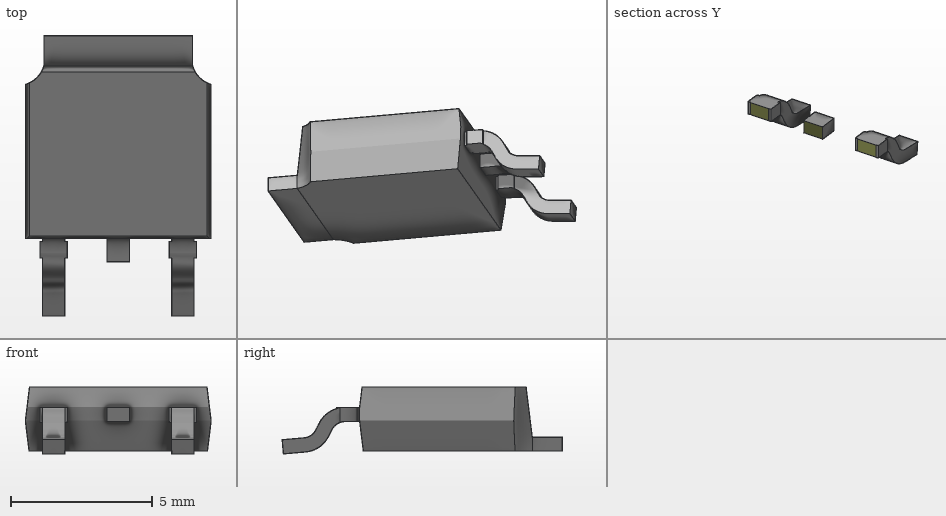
import cadquery as cq
import math


housing_width = 6.58
housing_length = 6.115
housing_height = 2.28
parting_height = 1.075
draft_angle = math.radians(7)

tab_width = 5.27
tab_thickness = 0.50
tab_length = 1.065

corner_radius = 0.95
corner_centre_x = 3.55
corner_centre_y = housing_length + math.sqrt(corner_radius**2 - (corner_centre_x - tab_width / 2) ** 2)

lead_thickness = 0.51
lead_top = 1.555
lead_pitch = 2.286
lead_width = 0.79
dambar_width = 0.98
dambar_start = 0.095
dambar_end = 0.685

shoulder_length = 0.515
bend_angle = math.radians(63)
inner_bend_radius = 0.51
outer_bend_radius = inner_bend_radius + lead_thickness
slope_length = 0.273
foot_length = 0.785
foot_angle = math.radians(5)

stub_width = 0.81
stub_length = 0.82


def draft(height):
    """Sideways shift of a drafted wall over the given height."""
    return height * math.tan(draft_angle)


def make_housing():
    half_width = housing_width / 2
    bottom_half_width = half_width - draft(parting_height)
    top_half_width = half_width - draft(housing_height - parting_height)

    side_profile = (
        cq.Workplane("YZ")
        .moveTo(draft(parting_height), 0)
        .lineTo(0, parting_height)
        .lineTo(0, lead_top)
        .lineTo(draft(housing_height - lead_top), housing_height)
        .lineTo(housing_length - draft(housing_height - tab_thickness), housing_height)
        .lineTo(housing_length, tab_thickness)
        .lineTo(housing_length, 0)
        .close()
        .extrude(half_width, both=True)
    )

    cross_section = (
        cq.Workplane("XZ")
        .moveTo(-bottom_half_width, 0)
        .lineTo(-half_width, parting_height)
        .lineTo(-top_half_width, housing_height)
        .lineTo(top_half_width, housing_height)
        .lineTo(half_width, parting_height)
        .lineTo(bottom_half_width, 0)
        .close()
        .extrude(-housing_length)
    )

    corner_scallops = (
        cq.Workplane("XY")
        .pushPoints([(-corner_centre_x, corner_centre_y), (corner_centre_x, corner_centre_y)])
        .circle(corner_radius)
        .extrude(housing_height)
    )
    return side_profile.intersect(cross_section).cut(corner_scallops).solids()


def make_tab():
    return (
        cq.Workplane("XY")
        .box(tab_width, tab_length, tab_thickness, centered=(True, False, False))
        .translate((0, housing_length, 0))
    )


def make_lead(centre_x):
    def offset_point(centre, radius, angle):
        """Point at the given radius from a bend centre, with the angle from +Z toward -Y."""
        return (centre[0] - radius * math.sin(angle), centre[1] + radius * math.cos(angle))

    upper_centre = (-shoulder_length, lead_top - outer_bend_radius)
    upper_mid_angle = bend_angle / 2

    slope_y = -slope_length * math.cos(bend_angle)
    slope_z = -slope_length * math.sin(bend_angle)
    centre_distance = outer_bend_radius + inner_bend_radius
    centre_y, centre_z = offset_point(upper_centre, centre_distance, bend_angle)
    lower_centre = (centre_y + slope_y, centre_z + slope_z)
    lower_mid_angle = (bend_angle + foot_angle) / 2

    def upper_bend(radius, angle):
        return offset_point(upper_centre, radius, angle)

    def lower_bend(radius, angle):
        return offset_point(lower_centre, -radius, angle)

    def foot_end(radius):
        start_y, start_z = lower_bend(radius, foot_angle)
        return (start_y - foot_length * math.cos(foot_angle), start_z - foot_length * math.sin(foot_angle))

    strip = (
        cq.Workplane("YZ")
        .moveTo(0, lead_top)
        .lineTo(*upper_bend(outer_bend_radius, 0))
        .threePointArc(
            upper_bend(outer_bend_radius, upper_mid_angle), upper_bend(outer_bend_radius, bend_angle)
        )
        .lineTo(*lower_bend(inner_bend_radius, bend_angle))
        .threePointArc(
            lower_bend(inner_bend_radius, lower_mid_angle), lower_bend(inner_bend_radius, foot_angle)
        )
        .lineTo(*foot_end(inner_bend_radius))
        .lineTo(*foot_end(outer_bend_radius))
        .lineTo(*lower_bend(outer_bend_radius, foot_angle))
        .threePointArc(
            lower_bend(outer_bend_radius, lower_mid_angle), lower_bend(outer_bend_radius, bend_angle)
        )
        .lineTo(*upper_bend(inner_bend_radius, bend_angle))
        .threePointArc(
            upper_bend(inner_bend_radius, upper_mid_angle), upper_bend(inner_bend_radius, 0)
        )
        .lineTo(0, lead_top - lead_thickness)
        .close()
        .extrude(dambar_width / 2, both=True)
    )

    lead_reach = -foot_end(inner_bend_radius)[0]
    narrow_outline = cq.Workplane("XY").box(lead_width, 2 * lead_reach, 2 * housing_height)
    dambar_outline = (
        cq.Workplane("XY")
        .box(dambar_width, dambar_end - dambar_start, 2 * housing_height)
        .translate((0, -(dambar_start + dambar_end) / 2, 0))
    )
    plan_outline = narrow_outline.union(dambar_outline)
    return strip.intersect(plan_outline).translate((centre_x, 0, 0)).solids()


def make_stub():
    return (
        cq.Workplane("XY")
        .box(stub_width, stub_length, lead_thickness, centered=(True, False, False))
        .translate((0, -stub_length, lead_top - lead_thickness))
    )


housing = make_housing()
tab = make_tab()
stub = make_stub()
leads = [make_lead(side * lead_pitch) for side in (-1, 1)]

result = cq.Compound.makeCompound(
    [housing.val(), tab.val(), stub.val(), *[lead.val() for lead in leads]]
)